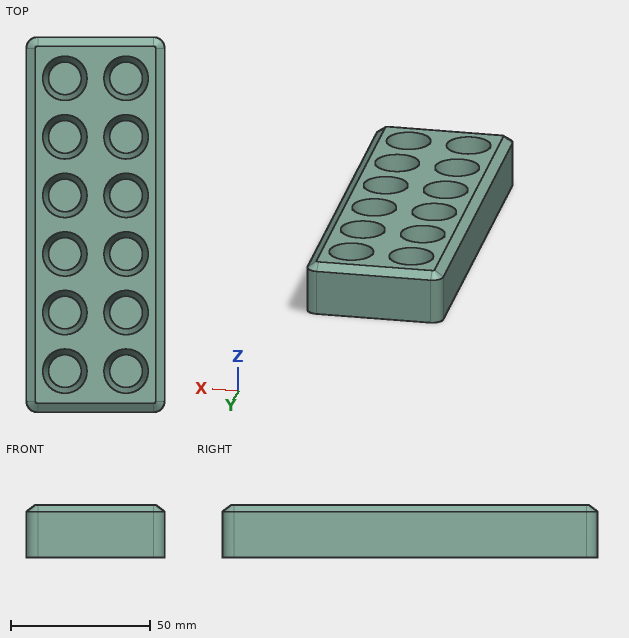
import cadquery as cq
import math

width = 49.7
length = 134.8
height = 19.0
corner_radius = 4.0

bevel_height = 2.4
bevel_inset = 3.2

columns = 2
rows = 6
column_pitch = 22.0
row_pitch = 21.0
pocket_top_diameter = 15.9
pocket_floor_diameter = 11.7
pocket_depth = 14.8


def make_block():
    """Block with rounded vertical edges and a sloped rim narrowing to the top face."""
    straight_height = height - bevel_height
    bevel_angle = math.degrees(math.atan2(bevel_inset, bevel_height))
    base = cq.Workplane("XY").rect(width, length).extrude(straight_height)
    base = base.edges("|Z").fillet(corner_radius)
    rim = base.faces(">Z").wires().toPending().workplane()
    return rim.extrude(bevel_height, taper=bevel_angle)


def make_pocket():
    """Cone frustum that widens toward the top face."""
    top_radius = pocket_top_diameter / 2
    floor_radius = pocket_floor_diameter / 2
    return cq.Solid.makeCone(floor_radius, top_radius, pocket_depth)


pocket = make_pocket()
pocket_floor_z = height - pocket_depth
pocket_grid = cq.Workplane("XY", origin=(0, 0, pocket_floor_z)).rarray(column_pitch, row_pitch, columns, rows)
pockets = pocket_grid.eachpoint(lambda location: pocket.moved(location))

result = make_block().cut(pockets)